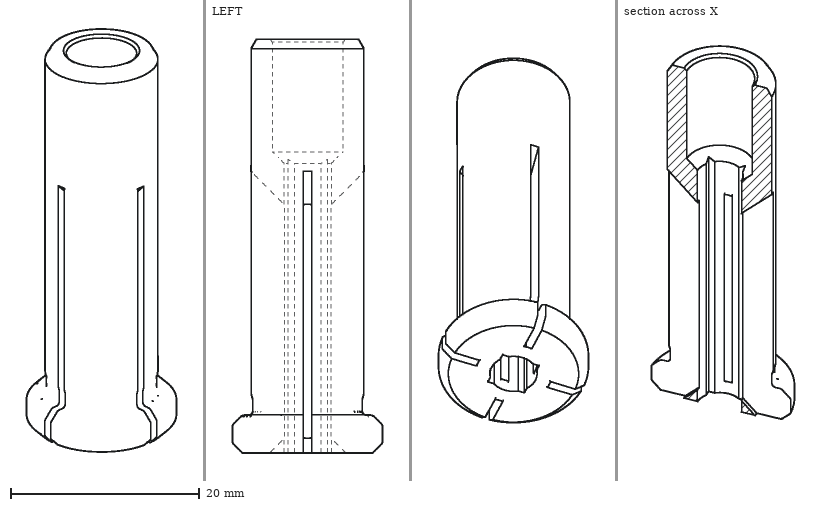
import cadquery as cq

length = 44.0
body_radius = 12.0 / 2
tip_chamfer_height = 1.0
tip_chamfer_depth = 0.55
tip_rounding = 0.25

flange_radius = 7.985
flange_height = 4.05
flange_chamfer = 1.05
flange_edge_rounding = 0.3
flange_top_rounding = 0.6
neck_radius = 5.85
neck_fillet = 0.4
neck_cone_bottom = 5.7
neck_cone_top = 6.25

bore_radius = 7.5 / 2
bore_rim_chamfer = 0.3
hole_radius = 2.5
funnel_bottom = 30.8
square_side = 4.2

slot_width = 0.9
slot_floor_at_hole = 1.6
slot_top_at_hole = 26.45
slot_count = 4


def edge_circle(z, radius):
    """Select the circular edges lying at one height and radius."""
    margin = 0.02
    reach = radius + margin
    return cq.selectors.BoxSelector(
        (-reach, -reach, z - margin), (reach, reach, z + margin), boundingbox=True
    )


def make_sleeve():
    profile = [
        (0, 0),
        (flange_radius - flange_chamfer, 0),
        (flange_radius, flange_chamfer),
        (flange_radius, flange_height - flange_chamfer),
        (flange_radius - flange_chamfer, flange_height),
        (neck_radius, flange_height),
        (neck_radius, neck_cone_bottom),
        (body_radius, neck_cone_top),
        (body_radius, length - tip_chamfer_height),
        (body_radius - tip_chamfer_depth, length),
        (0, length),
    ]
    sleeve = cq.Workplane("XZ").polyline(profile).close().revolve(360, (0, 0), (0, 1))
    roundings = [
        (flange_chamfer, flange_radius, flange_edge_rounding),
        (flange_height - flange_chamfer, flange_radius, flange_edge_rounding),
        (flange_height, neck_radius, neck_fillet),
        (flange_height, flange_radius - flange_chamfer, flange_top_rounding),
        (length, body_radius - tip_chamfer_depth, tip_rounding),
    ]
    for z, radius, rounding in roundings:
        sleeve = sleeve.edges(edge_circle(z, radius)).fillet(rounding)
    return sleeve


def make_bore():
    funnel_height = bore_radius - hole_radius
    profile = [
        (0, 0),
        (hole_radius, 0),
        (hole_radius, funnel_bottom),
        (bore_radius, funnel_bottom + funnel_height),
        (bore_radius, length - bore_rim_chamfer),
        (bore_radius + bore_rim_chamfer, length),
        (0, length),
    ]
    bore = cq.Workplane("XZ").polyline(profile).close().revolve(360, (0, 0), (0, 1))
    square = cq.Workplane("XY").rect(square_side, square_side).extrude(funnel_bottom + funnel_height)
    return bore.union(square)


def make_slot():
    """One slot on the +X side, widening in height towards the outside."""
    inner = hole_radius / 2
    outer = flange_radius + 0.45
    floor_inner = slot_floor_at_hole + hole_radius - inner
    top_inner = slot_top_at_hole - hole_radius + inner
    run = outer - inner
    return (
        cq.Workplane("XZ")
        .polyline([
            (inner, floor_inner),
            (outer, floor_inner - run),
            (outer, top_inner + run),
            (inner, top_inner),
        ])
        .close()
        .extrude(slot_width / 2, both=True)
    )


result = make_sleeve().cut(make_bore())
for index in range(slot_count):
    slot_angle = index * 360 / slot_count
    result = result.cut(make_slot().rotate((0, 0, 0), (0, 0, 1), slot_angle))